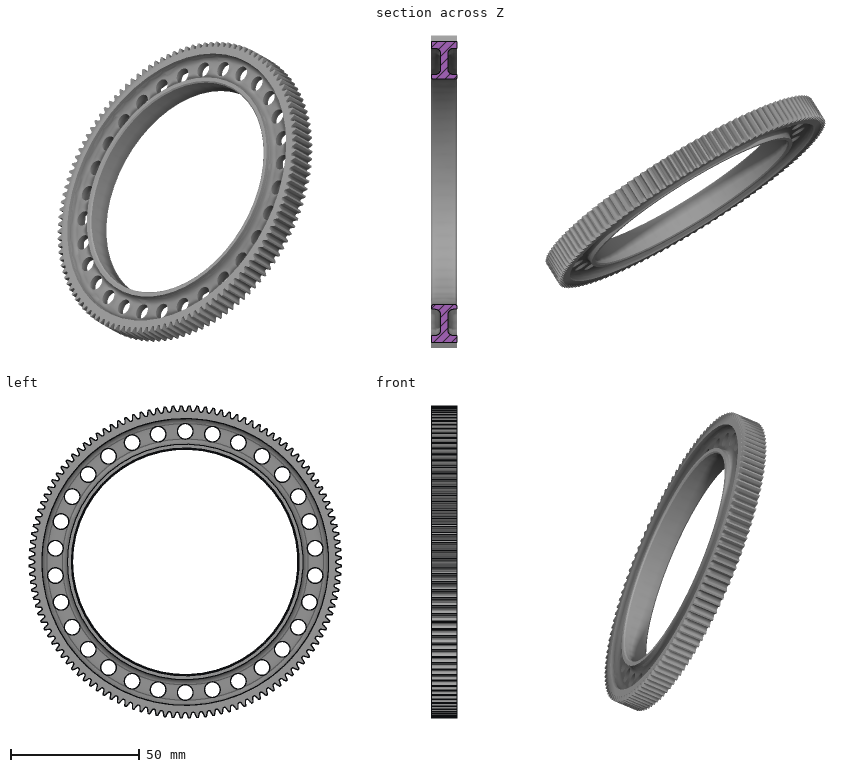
import cadquery as cq
import math

module = 1.0
addendum = module
tooth_count = 120
pressure_angle = math.radians(20)
face_width = 10.0
dedendum = 1.15 * module
root_fillet = 0.5
tooth_thinning = 0.16

pitch_radius = module * tooth_count / 2
tip_radius = pitch_radius + addendum
root_radius = pitch_radius - dedendum
base_radius = pitch_radius * math.cos(pressure_angle)
pitch_angle = 2 * math.pi / tooth_count

bore_radius = 44.0
bore_chamfer = 0.5
recess_inner_radius = 46.0
recess_outer_radius = 56.0
recess_depth = 3.5
recess_fillet = 2.0

hole_count = 30
hole_diameter = 6.0
hole_circle_radius = (recess_inner_radius + recess_outer_radius) / 2
first_hole_angle = 90


def polar(radius, angle):
    return (radius * math.cos(angle), radius * math.sin(angle))


def involute(angle):
    return math.tan(angle) - angle


def half_tooth_angle(radius):
    """Half the angle a tooth spans at a radius, along its involute flanks."""
    tooth_thickness = math.pi * module / 2 - tooth_thinning
    pitch_half_angle = tooth_thickness / (2 * pitch_radius)
    flank_angle = math.acos(base_radius / radius)
    return pitch_half_angle + involute(pressure_angle) - involute(flank_angle)


def half_tooth_points():
    """(radius, angle from the tooth centreline) of points from tooth tip to root."""
    centre_radius = root_radius + root_fillet
    centre_angle = half_tooth_angle(centre_radius) + root_fillet / base_radius
    contact_length = math.sqrt(centre_radius**2 - base_radius**2) - root_fillet
    contact_radius = math.hypot(base_radius, contact_length)
    middle_radius = (tip_radius + contact_radius) / 2
    return {
        "tip": (tip_radius, half_tooth_angle(tip_radius)),
        "flank": (middle_radius, half_tooth_angle(middle_radius)),
        "fillet": (contact_radius, half_tooth_angle(contact_radius)),
        "root": (root_radius, centre_angle),
    }


def gear_blank():
    """Toothed disc with a plain bore and a tooth gap centred on the +Y axis."""
    points = half_tooth_points()
    first_centre = pitch_angle / 2

    def on_tooth(centre, side, name):
        radius, angle = points[name]
        return polar(radius, centre + side * angle)

    outline = cq.Workplane("YZ", origin=(-face_width / 2, 0, 0))
    outline = outline.moveTo(*on_tooth(first_centre, -1, "root"))
    for tooth in range(tooth_count):
        centre = first_centre + tooth * pitch_angle
        next_centre = centre + pitch_angle
        gap_middle = polar(root_radius, centre + pitch_angle / 2)
        outline = outline.radiusArc(on_tooth(centre, -1, "fillet"), root_fillet)
        outline = outline.threePointArc(on_tooth(centre, -1, "flank"), on_tooth(centre, -1, "tip"))
        outline = outline.threePointArc(polar(tip_radius, centre), on_tooth(centre, 1, "tip"))
        outline = outline.threePointArc(on_tooth(centre, 1, "flank"), on_tooth(centre, 1, "fillet"))
        outline = outline.radiusArc(on_tooth(centre, 1, "root"), root_fillet)
        outline = outline.threePointArc(gap_middle, on_tooth(next_centre, -1, "root"))
    return outline.close().circle(bore_radius).extrude(face_width)


def recess():
    """Square-cornered annular recess in the -X face."""
    return (
        cq.Workplane("YZ", origin=(-face_width / 2, 0, 0))
        .circle(recess_outer_radius)
        .circle(recess_inner_radius)
        .extrude(recess_depth)
    )


def circular_edges(body, radius, distance):
    """The full-circle edges of a given radius lying at +/- distance along X."""

    def matches(edge):
        return (
            edge.geomType() == "CIRCLE"
            and edge.IsClosed()
            and math.isclose(edge.radius(), radius)
            and math.isclose(abs(edge.Center().x), distance)
        )

    return body.edges().filter(matches)


def round_recess_floors(body):
    """Fillet both floor corners of the recess in each face."""
    floor_distance = face_width / 2 - recess_depth
    for radius in (recess_inner_radius, recess_outer_radius):
        body = circular_edges(body, radius, floor_distance).fillet(recess_fillet)
    return body


def chamfer_bore(body):
    """Break the bore edge at both faces."""
    return circular_edges(body, bore_radius, face_width / 2).chamfer(bore_chamfer)


def holes():
    """Holes through the web on one circle."""
    return (
        cq.Workplane("YZ")
        .polarArray(hole_circle_radius, first_hole_angle, 360, hole_count)
        .circle(hole_diameter / 2)
        .extrude(face_width / 2, both=True)
    )


near_recess = recess()
far_recess = near_recess.mirror("YZ")
body = gear_blank().cut(near_recess).cut(far_recess)
body = round_recess_floors(body)
body = chamfer_bore(body)
result = body.cut(holes())